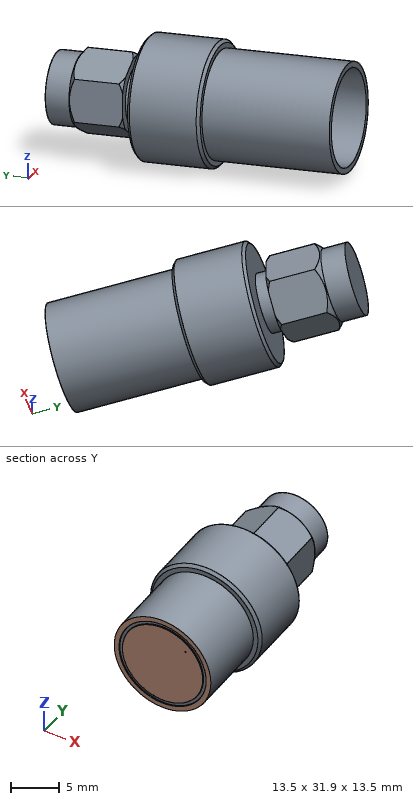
import cadquery as cq
import math

total_length = 31.9
open_end = -total_length / 2

tube_diameter = 11.75
tube_length = 13.97
bore_diameter = 10.45
bore_depth = 5.75
plug_diameter = 9.75
plug_chamfer = 0.6
plug_recess = 4.9

collar_diameter = 13.5
collar_length = 7.98
collar_chamfer = 0.32

neck_diameter = 6.45
neck_length = 1.4
nut_across_flats = 8.05
nut_length = 5.93
nut_front_diameter = 7.85
nut_front_bevel = 0.65
nut_back_bevel = 0.4
sleeve_diameter = 7.85

collar_start = open_end + tube_length
neck_start = collar_start + collar_length
nut_start = neck_start + neck_length
nut_end = nut_start + nut_length
sleeve_length = total_length / 2 - nut_end


def plane_at(y):
    """Sketch plane across the axis, extruding toward +Y."""
    return cq.Workplane(cq.Plane(origin=(0, y, 0), xDir=(1, 0, 0), normal=(0, 1, 0)))


def cylinder(y, diameter, length):
    return plane_at(y).circle(diameter / 2).extrude(length)


def make_tube():
    tube = cylinder(open_end, tube_diameter, tube_length)
    bore = cylinder(open_end, bore_diameter, bore_depth)
    plug = cylinder(open_end + plug_recess, plug_diameter, bore_depth - plug_recess)
    plug = plug.faces("<Y").chamfer(plug_chamfer)
    return tube.cut(bore).union(plug)


def make_collar():
    collar = cylinder(collar_start, collar_diameter, collar_length)
    return collar.faces("<Y or >Y").chamfer(collar_chamfer)


def make_nut():
    """Hexagonal prism with corners at +Z and -Z, bevelled by a turned envelope."""
    corner_radius = nut_across_flats / math.sqrt(3)
    front_radius = nut_front_diameter / 2
    back_radius = corner_radius - nut_back_bevel
    corners = [
        (corner_radius * math.sin(k * math.pi / 3), corner_radius * math.cos(k * math.pi / 3))
        for k in range(6)
    ]
    prism = plane_at(nut_start).polyline(corners).close().extrude(nut_length)
    envelope = (
        cq.Workplane("XY")
        .moveTo(0, nut_start)
        .lineTo(back_radius, nut_start)
        .lineTo(corner_radius, nut_start + nut_back_bevel)
        .lineTo(corner_radius, nut_end - nut_front_bevel)
        .lineTo(front_radius, nut_end)
        .lineTo(0, nut_end)
        .close()
        .revolve(360, (0, 0, 0), (0, 1, 0))
    )
    return prism.intersect(envelope)


neck = cylinder(neck_start, neck_diameter, neck_length)
sleeve = cylinder(nut_end, sleeve_diameter, sleeve_length)
result = make_tube().union(make_collar()).union(neck).union(make_nut()).union(sleeve)